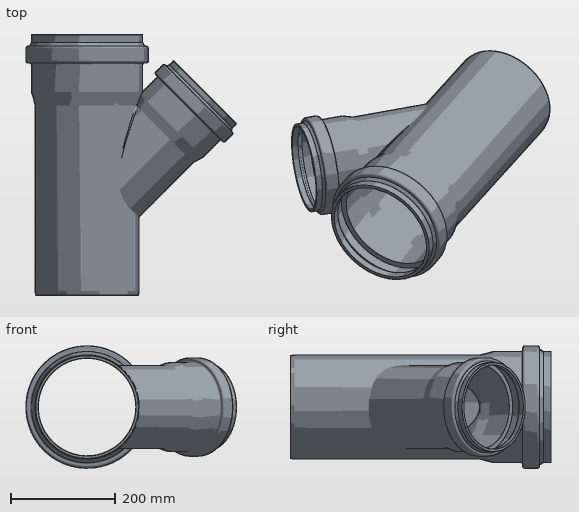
import cadquery as cq
import math

MAIN_LENGTH = 500.0
MAIN_DIAMETER = 200.0
MAIN_BORE = 187.0
SPIGOT_BEVEL_LENGTH = 8.0
SPIGOT_BEVEL_DEPTH = 1.5

BRANCH_ANGLE = 45.0
BRANCH_HEIGHT = 163.5
BRANCH_LENGTH = 320.0
BRANCH_DIAMETER = 159.5
BRANCH_BORE = 149.5
JUNCTION_FILLET = 2.0

MAIN_SOCKET = {
    "outer": 213.5, "bore": 201.5, "bead": 235.0, "groove": 223.0,
    "lip": 15.0, "bead_start": 22.0, "bead_end": 54.5, "taper_start": 110.0, "taper_end": 136.0,
    "rounding": 4.5, "shoulder": 3.0, "collar": 222.0,
}
BRANCH_SOCKET = {
    "outer": 171.0, "bore": 161.5, "bead": 189.0, "groove": 179.5,
    "lip": 11.5, "bead_start": 17.0, "bead_end": 43.0, "taper_start": 91.0, "taper_end": 111.5,
    "rounding": 3.5, "shoulder": 2.5, "collar": 177.0,
}


def pipe_body(start, end, diameter, socket):
    """Solid outer shape about Y: plain pipe, taper, socket, seal bead and lip."""
    outer = socket["outer"] / 2
    bead = socket["bead"] / 2
    rounding = socket["rounding"]
    shoulder = socket["shoulder"]
    bead_low = end - socket["bead_end"]
    bead_high = end - socket["bead_start"]
    arc_inset = rounding * (1 - math.sqrt(0.5))
    shoulder_inset = shoulder * (1 - math.sqrt(0.5))
    return (
        cq.Workplane("XY")
        .moveTo(0, start)
        .lineTo(diameter / 2, start)
        .lineTo(diameter / 2, end - socket["taper_end"])
        .lineTo(outer, end - socket["taper_start"])
        .lineTo(outer, bead_low - shoulder)
        .threePointArc((outer + shoulder_inset, bead_low - shoulder_inset), (outer + shoulder, bead_low))
        .lineTo(bead - rounding, bead_low)
        .threePointArc((bead - arc_inset, bead_low + arc_inset), (bead, bead_low + rounding))
        .lineTo(bead, bead_high - rounding)
        .threePointArc((bead - arc_inset, bead_high - arc_inset), (bead - rounding, bead_high))
        .lineTo(socket["collar"] / 2, bead_high)
        .lineTo(outer, end - socket["lip"])
        .lineTo(outer, end)
        .lineTo(0, end)
        .close()
        .revolve(360, (0, 0, 0), (0, 1, 0))
    )


def pipe_cavity(start, end, bore, socket):
    """Inner space about Y: bore, taper, socket bore and seal groove."""
    wall = (socket["bead"] - socket["groove"]) / 2
    groove_low = end - socket["bead_end"] + wall
    groove_high = end - socket["bead_start"] - wall
    return (
        cq.Workplane("XY")
        .moveTo(0, start)
        .lineTo(bore / 2, start)
        .lineTo(bore / 2, end - socket["taper_end"])
        .lineTo(socket["bore"] / 2, end - socket["taper_start"])
        .lineTo(socket["bore"] / 2, groove_low)
        .lineTo(socket["groove"] / 2, groove_low)
        .lineTo(socket["groove"] / 2, groove_high)
        .lineTo(socket["bore"] / 2, end - socket["lip"])
        .lineTo(socket["bore"] / 2, end)
        .lineTo(0, end)
        .close()
        .revolve(360, (0, 0, 0), (0, 1, 0))
    )


def place_branch(shape):
    """Tilt a shape built along Y towards +X and lift it to the axis crossing."""
    return shape.rotate((0, 0, 0), (0, 0, 1), -BRANCH_ANGLE).translate((0, BRANCH_HEIGHT, 0))


def spigot_bevel():
    """Ring removed from the outer edge of the plain end of the main pipe."""
    radius = MAIN_DIAMETER / 2
    return (
        cq.Workplane("XY")
        .moveTo(radius - SPIGOT_BEVEL_DEPTH, 0)
        .lineTo(radius, 0)
        .lineTo(radius, SPIGOT_BEVEL_LENGTH)
        .close()
        .revolve(360, (0, 0, 0), (0, 1, 0))
    )


def plain_rod(diameter, length):
    """Solid cylinder along Y, starting at the XZ plane."""
    return cq.Workplane("XZ").circle(diameter / 2).extrude(-length)


def filleted_junction():
    """Plain pipe shapes blended along the seam between them."""
    main_rod = plain_rod(MAIN_DIAMETER, MAIN_LENGTH)
    branch_rod = place_branch(plain_rod(BRANCH_DIAMETER, BRANCH_LENGTH))
    joined = main_rod.union(branch_rod)
    seam = [edge for edge in joined.edges().vals() if edge.geomType() not in ("CIRCLE", "LINE")]
    return joined.newObject(seam).fillet(JUNCTION_FILLET)


main_body = pipe_body(0, MAIN_LENGTH, MAIN_DIAMETER, MAIN_SOCKET)
main_cavity = pipe_cavity(0, MAIN_LENGTH, MAIN_BORE, MAIN_SOCKET)
branch_body = place_branch(pipe_body(0, BRANCH_LENGTH, BRANCH_DIAMETER, BRANCH_SOCKET))
branch_cavity = place_branch(pipe_cavity(0, BRANCH_LENGTH, BRANCH_BORE, BRANCH_SOCKET))

outer_body = main_body.union(branch_body).union(filleted_junction()).cut(spigot_bevel())

result = outer_body.cut(main_cavity).cut(branch_cavity)